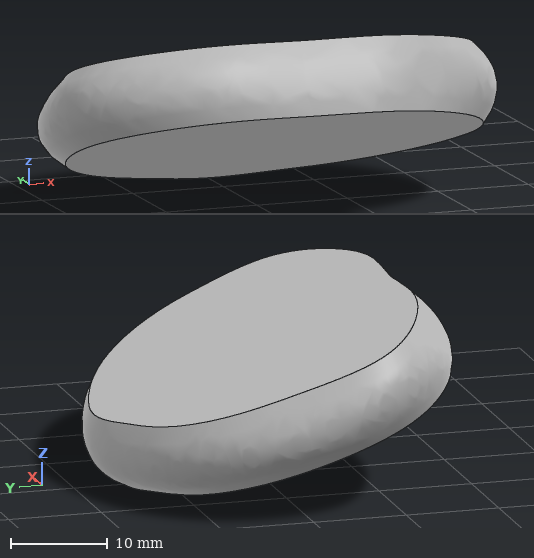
import cadquery as cq
import math

thickness = 8.2
lean_about_x = -21.7
lean_about_y = 0.6

bottom_radii = [22.55, 20.3, 18.25, 17.0, 17.5, 17.1, 18.25, 19.9, 21.7, 23.12, 21.6, 19.2, 17.8, 19.25, 21.25, 22.85]
middle_radii = [23.95, 22.15, 20.8, 19.5, 19.65, 19.75, 20.95, 22.55, 24.15, 25.35, 23.12, 19.85, 17.9, 19.45, 21.7, 24.8]
top_radii = [21.45, 20.05, 18.5, 17.55, 17.6, 17.25, 18.4, 19.65, 21.1, 23.75, 21.3, 18.3, 16.6, 18.3, 20.8, 22.95]


def outline(radii, height):
    """Closed smooth curve through the given radii, lying flat at the given height."""
    step = 2 * math.pi / len(radii)
    points = []
    for index, radius in enumerate(radii):
        angle = index * step
        points.append(cq.Vector(radius * math.cos(angle), radius * math.sin(angle), height))
    curve = cq.Edge.makeSpline(points, periodic=True)
    return cq.Wire.assembleEdges([curve])


def pebble():
    """Solid through the bottom, middle and top outlines, centred on its mid-plane."""
    outlines = [
        outline(bottom_radii, -thickness / 2),
        outline(middle_radii, 0),
        outline(top_radii, thickness / 2),
    ]
    return cq.Workplane(cq.Solid.makeLoft(outlines))


origin = (0, 0, 0)
result = pebble().rotate(origin, (0, 1, 0), lean_about_y).rotate(origin, (1, 0, 0), lean_about_x)